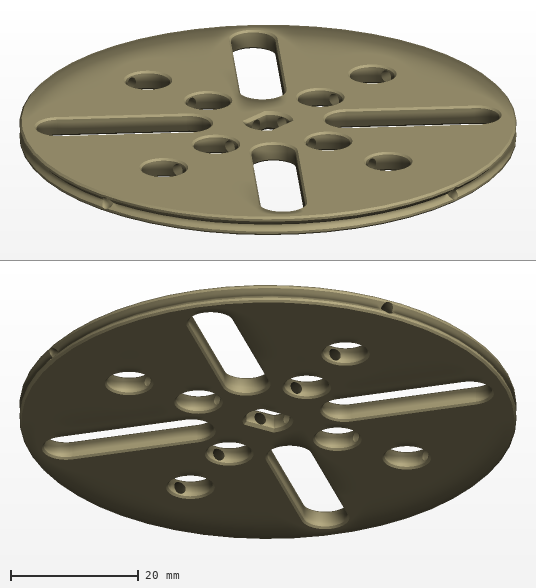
import cadquery as cq
disc_diameter = 78.1
thickness = 3.1
edge_chamfer = 0.3

groove_width = 1.7
groove_depth = 0.85

opening_diameter = 7.0
hole_pitch = 12.5
slot_inner_radius = hole_pitch
slot_outer_radius = 33.0
slot_angle = 45
pattern_angles = (0, 90, 180, 270)

bore_diameter = opening_diameter
bore_flat_width = 5.0
bore_chamfer = 0.5

cross_hole_diameter = 2.0
cross_hole_overrun = 1.6

disc_radius = disc_diameter / 2
half_thickness = thickness / 2


def turned(shape, angle):
    """The shape turned about the disc axis."""
    return shape.rotate((0, 0, 0), (0, 0, 1), angle)


def cylinder(diameter, height=thickness):
    """Upright cylinder centred on the origin, by default as tall as the disc."""
    return cq.Workplane("XY").circle(diameter / 2).extrude(height / 2, both=True)


def grooved_disc():
    """Square-edged disc centred on the origin, with a V-groove in its rim."""
    half_groove = groove_width / 2
    half_section = (
        cq.Workplane("XZ")
        .moveTo(0, -half_thickness)
        .lineTo(disc_radius, -half_thickness)
        .lineTo(disc_radius, -half_groove)
        .lineTo(disc_radius - groove_depth, 0)
        .lineTo(disc_radius, half_groove)
        .lineTo(disc_radius, half_thickness)
        .lineTo(0, half_thickness)
        .close()
    )
    return half_section.revolve(360, (0, 0), (0, 1))


def double_flat_bore():
    """Central bore with flats facing +X and -X."""
    between_flats = cq.Workplane("XY").box(bore_flat_width, bore_diameter, thickness)
    return cylinder(bore_diameter).intersect(between_flats)


def radial_slot():
    """Slot lying along +X."""
    end_spacing = slot_outer_radius - slot_inner_radius
    return (
        cq.Workplane("XY")
        .center((slot_inner_radius + slot_outer_radius) / 2, 0)
        .slot2D(end_spacing + opening_diameter, opening_diameter)
        .extrude(half_thickness, both=True)
    )


def cross_hole():
    """Hole along X, across the full disc."""
    upright = cylinder(cross_hole_diameter, disc_diameter + cross_hole_overrun)
    return upright.rotate((0, 0, 0), (0, 1, 0), 90)


plate = grooved_disc()
for angle in pattern_angles:
    for radius in (hole_pitch, 2 * hole_pitch):
        hole = cylinder(opening_diameter).translate((radius, 0, 0))
        plate = plate.cut(turned(hole, angle))
    plate = plate.cut(turned(radial_slot(), angle + slot_angle))

plate = plate.faces("<Z or >Z").edges().chamfer(edge_chamfer)

bore_region = cq.selectors.BoxSelector(
    (-bore_diameter, -bore_diameter, -thickness),
    (bore_diameter, bore_diameter, thickness),
    boundingbox=True,
)
plate = plate.cut(double_flat_bore())
plate = plate.faces("<Z or >Z").edges(bore_region).chamfer(bore_chamfer)

result = plate.cut(cross_hole()).cut(turned(cross_hole(), 90))